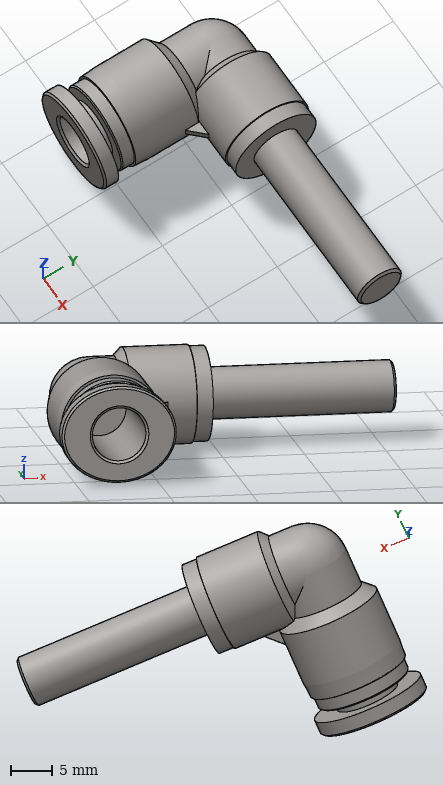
import cadquery as cq

elbow_radius = 10.0 / 2

stem_arm_radius = 12.0 / 2
stem_collar_radius = 11.6 / 2
stem_cone_start = 3.0
stem_cone_end = stem_cone_start + stem_arm_radius - elbow_radius
collar_length = 2.0
stem_arm_end = 14.05
stem_collar_start = stem_arm_end - collar_length

tube_arm_radius = 12.8 / 2
lip_radius = 12.55 / 2
end_ring_radius = 11.9 / 2
end_ring_chamfer = 0.18
tube_cone_start = 4.75
tube_cone_end = tube_cone_start + tube_arm_radius - elbow_radius
lip_end = 15.15
lip_start = lip_end - collar_length
tube_arm_end = 16.95

web_reach = 14.45
web_thickness = 0.95

stem_radius = 6.35 / 2
stem_inner_end = stem_cone_end
stem_outer_end = 37.0
stem_chamfer = 0.3

shank_radius = 7.9 / 2
bore_radius = 6.55 / 2
bore_chamfer = 0.3
overall_depth = 26.1
flange_width = 14.0
flange_height = 11.9
flange_start = 18.1
flange_end = overall_depth - stem_arm_radius
flange_chamfer = 0.25
socket_floor = tube_cone_end


def rod_x(radius, start, end):
    """Cylinder on the X axis."""
    return cq.Workplane("YZ", origin=(start, 0, 0)).circle(radius).extrude(end - start)


def rod_y(radius, start, end):
    """Cylinder on the Y axis, with start and end counted along -Y."""
    return cq.Workplane("XZ", origin=(0, -start, 0)).circle(radius).extrude(end - start)


def make_stem_arm():
    profile = [
        (0, 0),
        (0, elbow_radius),
        (stem_cone_start, elbow_radius),
        (stem_cone_end, stem_arm_radius),
        (stem_collar_start, stem_arm_radius),
        (stem_collar_start, stem_collar_radius),
        (stem_arm_end, stem_collar_radius),
        (stem_arm_end, 0),
    ]
    return cq.Workplane("XY").polyline(profile).close().revolve(360, (0, 0), (1, 0))


def make_tube_arm():
    profile = [
        (0, 0),
        (elbow_radius, 0),
        (elbow_radius, -tube_cone_start),
        (tube_arm_radius, -tube_cone_end),
        (tube_arm_radius, -lip_start),
        (lip_radius, -lip_end),
        (end_ring_radius, -lip_end),
        (end_ring_radius, -tube_arm_end + end_ring_chamfer),
        (end_ring_radius - end_ring_chamfer, -tube_arm_end),
        (0, -tube_arm_end),
    ]
    return cq.Workplane("XY").polyline(profile).close().revolve(360, (0, 0), (0, 1))


def make_web():
    stem_side_x = web_reach - stem_arm_radius
    corners = [(0, 0), (0, -web_reach), (stem_side_x, -stem_arm_radius), (stem_side_x, 0)]
    return cq.Workplane("XY").polyline(corners).close().extrude(web_thickness / 2, both=True)


def make_housing():
    elbow_ball = cq.Workplane("XY").sphere(elbow_radius)
    outside = make_stem_arm().union(make_tube_arm()).union(elbow_ball).union(make_web())
    stem_socket = rod_x(stem_radius, stem_inner_end, stem_arm_end)
    button_socket = rod_y(shank_radius, socket_floor, tube_arm_end)
    return outside.cut(stem_socket).cut(button_socket)


def make_stem():
    stem = rod_x(stem_radius, stem_inner_end, stem_outer_end)
    return stem.faces(">X").chamfer(stem_chamfer)


def make_release_button():
    shank = rod_y(shank_radius, socket_floor, flange_start)
    flange = (
        cq.Workplane("XZ", origin=(0, -flange_start, 0))
        .ellipse(flange_width / 2, flange_height / 2)
        .extrude(flange_end - flange_start)
        .faces("<Y")
        .chamfer(flange_chamfer)
    )
    bore = rod_y(bore_radius, socket_floor, flange_end)
    bored = shank.union(flange).cut(bore)
    return bored.faces("<Y").edges("%CIRCLE").chamfer(bore_chamfer)


housing = make_housing()
stem = make_stem()
release_button = make_release_button()

result = cq.Compound.makeCompound([
    housing.solids().val(),
    stem.solids().val(),
    release_button.solids().val(),
])